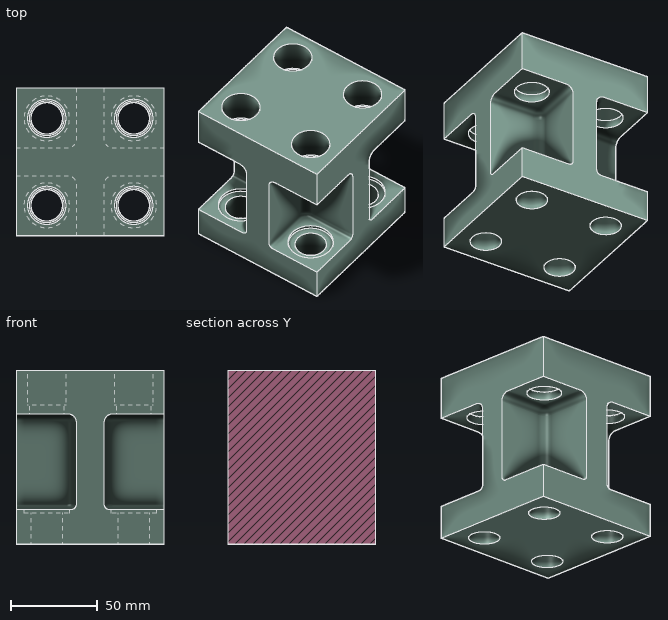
import cadquery as cq

BLOCK_SIDE = 85.0
BLOCK_HEIGHT = 100.0

BASE_THICKNESS = 20.0
TOP_THICKNESS = 25.0
WEB_THICKNESS = 16.0

WALL_RADIUS = 5.0
ROOF_RADIUS = 5.0
FLOOR_RADIUS = 3.0

HOLE_SPACING = 50.0
BASE_HOLE_DIAMETER = 18.0
SPOTFACE_DIAMETER = 26.0
SPOTFACE_DEPTH = 2.0
TOP_HOLE_DIAMETER = 20.0
COUNTERBORE_DIAMETER = 22.0
COUNTERBORE_DEPTH = 20.0

POCKET_HEIGHT = BLOCK_HEIGHT - BASE_THICKNESS - TOP_THICKNESS
POCKET_START = WEB_THICKNESS / 2
CUTTER_SIDE = BLOCK_SIDE
HOLE_OFFSET = HOLE_SPACING / 2
CORNERS = [(x_sign, y_sign) for x_sign in (-1, 1) for y_sign in (-1, 1)]


def pocket_cutter(x_sign, y_sign):
    """Rounded solid that hollows one corner between the flanges."""
    centre = POCKET_START + CUTTER_SIDE / 2
    return (
        cq.Workplane("XY")
        .workplane(offset=BASE_THICKNESS)
        .center(x_sign * centre, y_sign * centre)
        .rect(CUTTER_SIDE, CUTTER_SIDE)
        .extrude(POCKET_HEIGHT)
        .edges("|Z")
        .fillet(WALL_RADIUS)
        .faces("<Z")
        .edges()
        .fillet(FLOOR_RADIUS)
        .faces(">Z")
        .edges()
        .fillet(ROOF_RADIUS)
    )


def bore(x_sign, y_sign, diameter, bottom, top):
    """Vertical cylinder on one bolt axis between two heights."""
    return (
        cq.Workplane("XY")
        .workplane(offset=bottom)
        .center(x_sign * HOLE_OFFSET, y_sign * HOLE_OFFSET)
        .circle(diameter / 2)
        .extrude(top - bottom)
    )


def cut_bolt_holes(body, x_sign, y_sign):
    """Cut the stepped holes of both flanges on one bolt axis."""
    roof = BASE_THICKNESS + POCKET_HEIGHT
    steps = [
        (BASE_HOLE_DIAMETER, 0, BASE_THICKNESS),
        (SPOTFACE_DIAMETER, BASE_THICKNESS - SPOTFACE_DEPTH, BASE_THICKNESS),
        (TOP_HOLE_DIAMETER, roof, BLOCK_HEIGHT),
        (COUNTERBORE_DIAMETER, BLOCK_HEIGHT - COUNTERBORE_DEPTH, BLOCK_HEIGHT),
    ]
    for diameter, bottom, top in steps:
        body = body.cut(bore(x_sign, y_sign, diameter, bottom, top))
    return body


result = cq.Workplane("XY").box(BLOCK_SIDE, BLOCK_SIDE, BLOCK_HEIGHT, centered=(True, True, False))

for x_sign, y_sign in CORNERS:
    result = result.cut(pocket_cutter(x_sign, y_sign))
    result = cut_bolt_holes(result, x_sign, y_sign)